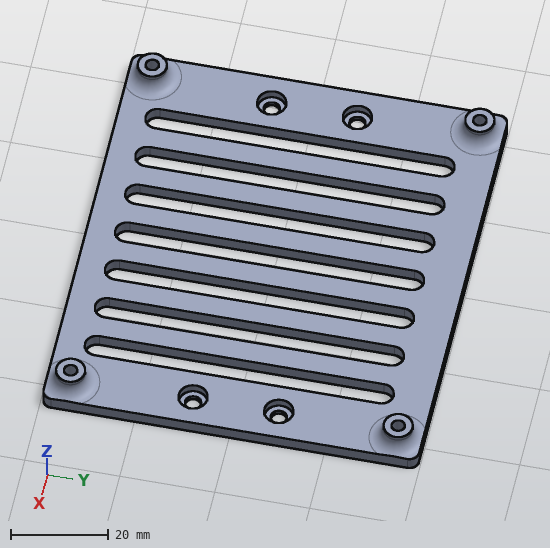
import cadquery as cq

plate_length = 91.15
plate_width = 79.1
plate_thickness = 3.0
corner_radius = 2.0

total_height = 7.0
standoff_spacing_x = 80.9
standoff_spacing_y = 69.0
standoff_radius = 6.0 / 2
standoff_hole_diameter = 2.7
flare_radius = 3.0

screw_spacing_x = 77.9
screw_spacing_y = 18.05
screw_hole_diameter = 3.4
counterbore_diameter = 6.0
counterbore_depth = 2.0

slot_count = 7
slot_pitch = 10.0
slot_length = 65.0
slot_width = 5.0
slot_center_y = -1.2


def rounded_block(height):
    """Block with the plate's outline, standing on Z = 0."""
    block = cq.Workplane("XY").box(plate_length, plate_width, height, centered=(True, True, False))
    return block.edges("|Z").fillet(corner_radius)


def standoff():
    """Round post on the Z axis that flares out in a concave arc to meet the plate."""
    foot_radius = standoff_radius + flare_radius
    flare_top = plate_thickness + flare_radius
    profile = (
        cq.Workplane("XZ")
        .moveTo(0, 0)
        .lineTo(foot_radius, 0)
        .lineTo(foot_radius, plate_thickness)
        .radiusArc((standoff_radius, flare_top), flare_radius)
        .lineTo(standoff_radius, total_height)
        .lineTo(0, total_height)
        .close()
    )
    return profile.revolve(360, (0, 0, 0), (0, 1, 0))


plate = rounded_block(plate_thickness)

standoff_centers = cq.Workplane("XY").rarray(standoff_spacing_x, standoff_spacing_y, 2, 2)
standoff_shape = standoff().val()
standoffs = standoff_centers.eachpoint(lambda place: standoff_shape.moved(place), combine=False)
result = plate.union(standoffs.intersect(rounded_block(total_height)))

standoff_holes = standoff_centers.circle(standoff_hole_diameter / 2).extrude(total_height)
result = result.cut(standoff_holes)

result = (
    result.copyWorkplane(cq.Workplane("XY", origin=(0, 0, plate_thickness)))
    .rarray(screw_spacing_x, screw_spacing_y, 2, 2)
    .cboreHole(screw_hole_diameter, counterbore_diameter, counterbore_depth)
)

slots = (
    cq.Workplane("XY", origin=(0, slot_center_y, 0))
    .rarray(slot_pitch, 0.9, slot_count, 1)
    .slot2D(slot_length, slot_width, 90)
    .extrude(plate_thickness)
)
result = result.cut(slots)